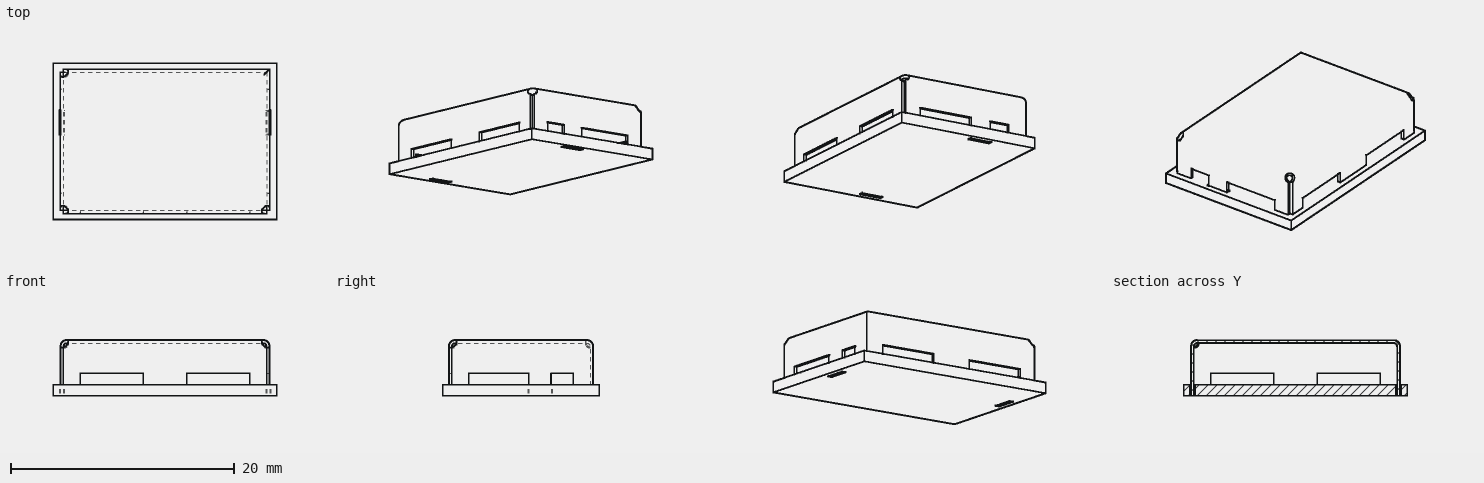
import cadquery as cq

board_length = 20.0
board_width = 14.0
board_thickness = 1.0
total_height = 5.0

cover_length = 18.72
cover_width = 12.92
sheet = 0.28
bend_radius = 0.6
relief_radius = 0.45

window_height = 1.0
long_side_window = 5.6
long_side_window_x = 4.75
small_window_y = (2.7, 4.65)
large_window_y = (-4.65, 0.68)

tab_clearance = 0.08

cover_height = total_height - board_thickness
inner_length = cover_length - 2 * sheet
inner_width = cover_width - 2 * sheet
tab_start = large_window_y[1]
tab_end = small_window_y[0]
tab_width = tab_end - tab_start
tab_y = (tab_start + tab_end) / 2
tab_x = (cover_length - sheet) / 2
window_z = board_thickness + window_height / 2


def block(size_x, size_y, size_z, x, y, z):
    """Box with its centre at the given place."""
    return cq.Workplane("XY").box(size_x, size_y, size_z).translate((x, y, z))


def rounded_block(length, width, height, top_radius):
    """Block standing on the board with its four top edges rounded."""
    block_on_board = cq.Workplane("XY").workplane(offset=board_thickness).rect(length, width).extrude(height)
    return block_on_board.faces(">Z").edges().fillet(top_radius)


def make_board():
    board = block(board_length, board_width, board_thickness, 0, 0, board_thickness / 2)
    slot_length = sheet + 2 * tab_clearance
    slot_width = tab_width + 2 * tab_clearance
    for side in (-1, 1):
        slot = block(slot_length, slot_width, board_thickness, side * tab_x, tab_y, board_thickness / 2)
        board = board.cut(slot)
    return board


def cut_corners(cover):
    """Open each vertical corner by one sheet thickness, with a round bend relief at its top."""
    corner_gap = block(
        sheet, sheet, cover_height,
        (cover_length - sheet) / 2,
        (cover_width - sheet) / 2,
        board_thickness + cover_height / 2,
    )
    bend_relief = cq.Workplane("XY").sphere(relief_radius).translate(
        (inner_length / 2, inner_width / 2, total_height - sheet)
    )
    right_cut = corner_gap.union(bend_relief)
    left_cut = right_cut.mirror("YZ")
    for cut in (right_cut, left_cut):
        cover = cover.cut(cut).cut(cut.mirror("XZ"))
    return cover


def cut_windows(cover):
    """Cut the windows straight through each pair of opposite walls."""
    for side in (-1, 1):
        window = block(
            long_side_window, cover_width, window_height, side * long_side_window_x, 0, window_z
        )
        cover = cover.cut(window)
    for start, end in (small_window_y, large_window_y):
        window = block(cover_length, end - start, window_height, 0, (start + end) / 2, window_z)
        cover = cover.cut(window)
    return cover


def add_tabs(cover):
    """Extend the short walls between their windows down to the underside of the board."""
    tab_height = board_thickness + window_height
    for side in (-1, 1):
        tab = block(sheet, tab_width, tab_height, side * tab_x, tab_y, tab_height / 2)
        cover = cover.union(tab)
    return cover


def make_cover():
    shell = rounded_block(cover_length, cover_width, cover_height, bend_radius)
    cavity = rounded_block(inner_length, inner_width, cover_height - sheet, bend_radius - sheet)
    cover = cut_corners(shell.cut(cavity))
    cover = cut_windows(cover)
    return add_tabs(cover)


board = make_board()
cover = make_cover()

result = cq.Compound.makeCompound([board.val(), cover.val()])